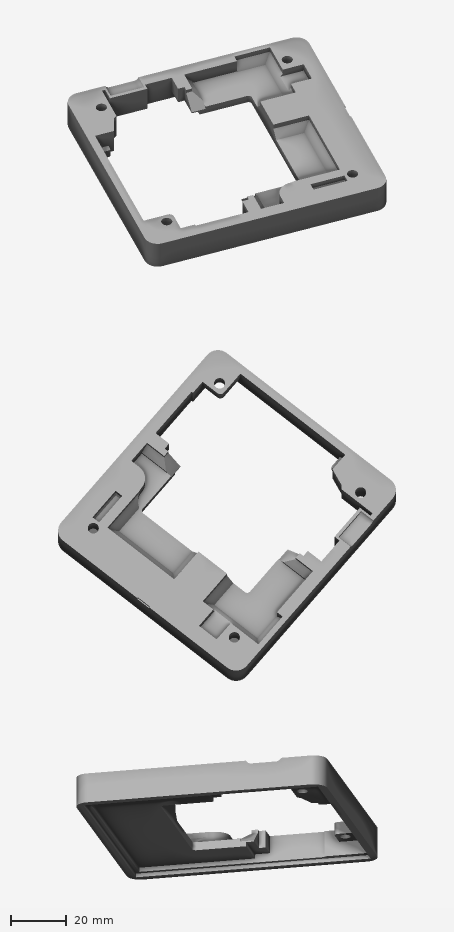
import cadquery as cq

WIDTH = 85.9
LENGTH = 92.25
HEIGHT = 11.0
CORNER_RADIUS = 5.0

WALL_DROP = 2.0
SLOPE_RUN = 2.95
FLOOR_DEPTH = WALL_DROP + SLOPE_RUN

LIP_WIDTH = 2.95
LIP_HEIGHT = 1.4
BACK_CAVITY = 2.95
SHELF_CAVITY = 4.5
SHELF_CAVITY_BACK = -1.0
CORNER_SLAB = 4.5

PLATE_EDGE = 18.5
NECK_X = 24.8
NECK_RADIUS = 1.3
SHELF_Y = -4.0
STEP_X = 32.1
STEP_Y = -6.5
SIDE_X = 38.4
FRONT_Y = LIP_WIDTH - LENGTH / 2
PAD_Y = -32.2
RIGHT_PAD_X = 29.2
RIGHT_PAD_RADIUS = 1.7
RIGHT_RIB_X = 37.7
RIGHT_RIB_Y = -26.75
LEFT_PAD_X = -19.3
LEFT_PAD_SIDE_Y = -36.0
LEFT_PAD_BEND = (-25.6, -33.4)
LEFT_PAD_SHOULDER_X = -26.5

TROUGH_BACK = -17.4
TROUGH_FRONT = -30.3
TROUGH_END_X = -37.3
TROUGH_DEPTH = 1.2
TROUGH_RADIUS = 2.0
TROUGH_RIM_X = -36.1
TROUGH_RIM = 0.7
SLIT_END_X = -41.0

POCKET_BACK = 32.2
LEFT_POCKET_X = (-41.0, -15.2)
RIGHT_POCKET_X = (-2.0, 28.9)
RIGHT_POCKET_FRONT = 12.8

CHANNEL_FRONT = 1.3
RAMP_TOP_X = 30.4
RAMP_END_DEPTH = 6.0
END_WALL_DROP = 1.4
END_SLOPE_DROP = 2.7
BEND_X = 29.1
BEND_RADIUS = 5.6
BEND_END_Y = RIGHT_POCKET_FRONT - BEND_RADIUS

RECESS_X = (-28.2, -20.1)
RECESS_Y = (31.2, 40.2)
RECESS_DEPTH = 3.0

SLOT_X = (32.5, 35.5)
SLOT_Y = (19.6, 32.6)
SLOT_SLOPE_RUN = 0.55

HOLE_DIAMETER = 4.0
HOLE_X = 32.7
HOLE_Y = 35.6
BLIND_DEPTH = 6.0

LEDGE_WIDTH = 2.4
LEDGE_BACK = -38.0
LEDGE_DEPTH = 6.5
LEDGE_RADIUS = 0.7

NOTCH_X = (-1.8, 3.7)
NOTCH_INSET = 0.4
NOTCH_DEPTH = 1.0


def block(x, y, z):
    """Box between the (low, high) limits on each axis."""
    size = (x[1] - x[0], y[1] - y[0], z[1] - z[0])
    return cq.Workplane("XY").box(*size, centered=False).translate((x[0], y[0], z[0]))


def top_cut(x, y, depth):
    """Box reaching from the top face down to the given depth."""
    return block(x, y, (HEIGHT - depth, HEIGHT))


def make_opening():
    outline = [
        (-NECK_X, PLATE_EDGE), (NECK_X, PLATE_EDGE), (NECK_X, SHELF_Y),
        (STEP_X, SHELF_Y), (STEP_X, STEP_Y), (SIDE_X, STEP_Y),
        (SIDE_X, RIGHT_RIB_Y), (RIGHT_RIB_X, RIGHT_RIB_Y), (RIGHT_RIB_X, PAD_Y),
        (RIGHT_PAD_X, PAD_Y), (RIGHT_PAD_X, FRONT_Y), (LEFT_PAD_X, FRONT_Y),
        (LEFT_PAD_X, LEFT_PAD_SIDE_Y), LEFT_PAD_BEND, (LEFT_PAD_SHOULDER_X, PAD_Y),
        (SLIT_END_X, PAD_Y), (SLIT_END_X, TROUGH_FRONT - TROUGH_RIM),
        (TROUGH_RIM_X, TROUGH_FRONT - TROUGH_RIM), (TROUGH_RIM_X, TROUGH_BACK + TROUGH_RIM),
        (-SIDE_X, TROUGH_BACK + TROUGH_RIM), (-SIDE_X, STEP_Y), (-STEP_X, STEP_Y),
        (-STEP_X, SHELF_Y), (-NECK_X, SHELF_Y),
    ]
    opening = cq.Workplane("XY", origin=(0, 0, LIP_HEIGHT)).polyline(outline).close().extrude(HEIGHT)
    rounded = [
        (-NECK_X, PLATE_EDGE, NECK_RADIUS),
        (NECK_X, PLATE_EDGE, NECK_RADIUS),
        (RIGHT_PAD_X, PAD_Y, RIGHT_PAD_RADIUS),
    ]
    for x, y, radius in rounded:
        corner = cq.selectors.NearestToPointSelector((x, y, HEIGHT))
        opening = opening.edges("|Z").edges(corner).fillet(radius)
    return opening


def make_tub(x, y, run):
    """Recess with vertical upper walls above 45 degree slopes on all four sides."""
    width = x[1] - x[0]
    length = y[1] - y[0]
    bowl = (
        cq.Workplane("XY", origin=(sum(x) / 2, sum(y) / 2, HEIGHT - WALL_DROP - run))
        .rect(width - 2 * run, length - 2 * run)
        .workplane(offset=run)
        .rect(width, length)
        .loft(ruled=True)
    )
    return bowl.union(top_cut(x, y, WALL_DROP))


def make_pocket(x, front):
    """Back half of a tub, so that its front end is open to the channel and the neck."""
    tub_front = 2 * front - POCKET_BACK
    tub = make_tub(x, (tub_front, POCKET_BACK), SLOPE_RUN)
    return tub.cut(block(x, (tub_front, front), (0, HEIGHT)))


def make_channel_end(side):
    """Front end of a side channel: a slope along Y meeting a ramp along X."""
    slope_front = CHANNEL_FRONT - SLOPE_RUN
    wall_z = HEIGHT - END_WALL_DROP
    slope = (
        cq.Workplane("YZ")
        .polyline([
            (slope_front, HEIGHT), (slope_front, wall_z),
            (CHANNEL_FRONT, wall_z - END_SLOPE_DROP), (CHANNEL_FRONT, HEIGHT),
        ])
        .close().extrude(side * SIDE_X)
    )
    ramp = (
        cq.Workplane("XZ", origin=(0, CHANNEL_FRONT, 0))
        .polyline([
            (side * RAMP_TOP_X, HEIGHT), (side * RAMP_TOP_X, wall_z),
            (side * NECK_X, HEIGHT - RAMP_END_DEPTH), (side * NECK_X, HEIGHT),
        ])
        .close().extrude(CHANNEL_FRONT - SHELF_Y)
    )
    return slope.union(ramp)


def make_left_channel():
    return top_cut((-SIDE_X, -NECK_X + NECK_RADIUS), (CHANNEL_FRONT, PLATE_EDGE), FLOOR_DEPTH)


def make_right_channel():
    """Channel whose outer edge sweeps round an S bend."""
    bend_y = RIGHT_POCKET_FRONT
    inner_x = BEND_X - BEND_RADIUS
    outer_x = BEND_X + BEND_RADIUS
    return (
        cq.Workplane("XY", origin=(0, 0, HEIGHT - FLOOR_DEPTH))
        .moveTo(inner_x, CHANNEL_FRONT)
        .lineTo(inner_x, bend_y + BEND_RADIUS)
        .radiusArc((BEND_X, bend_y), BEND_RADIUS)
        .radiusArc((outer_x, BEND_END_Y), -BEND_RADIUS)
        .lineTo(SIDE_X, BEND_END_Y)
        .lineTo(SIDE_X, CHANNEL_FRONT)
        .close().extrude(FLOOR_DEPTH)
    )


def make_trough():
    """Shallow trough whose two ends are arcs tangent to its floor."""
    floor_z = HEIGHT - TROUGH_DEPTH
    arc_run = (TROUGH_RADIUS ** 2 - (TROUGH_RADIUS - TROUGH_DEPTH) ** 2) ** 0.5
    return (
        cq.Workplane("YZ", origin=(-WIDTH / 2, 0, 0))
        .moveTo(TROUGH_FRONT, HEIGHT)
        .radiusArc((TROUGH_FRONT + arc_run, floor_z), -TROUGH_RADIUS)
        .lineTo(TROUGH_BACK - arc_run, floor_z)
        .radiusArc((TROUGH_BACK, HEIGHT), -TROUGH_RADIUS)
        .close().extrude(TROUGH_END_X + WIDTH / 2)
    )


def make_holes(y, depth):
    return (
        cq.Workplane("XY", origin=(0, 0, HEIGHT - depth))
        .pushPoints([(-HOLE_X, y), (HOLE_X, y)])
        .circle(HOLE_DIAMETER / 2).extrude(depth)
    )


def make_underside():
    lip_x = WIDTH / 2 - LIP_WIDTH
    lip_y = LENGTH / 2 - LIP_WIDTH
    cavity = block((-lip_x, lip_x), (-lip_y, lip_y), (0, LIP_HEIGHT))
    side_wall = WIDTH / 2 - SIDE_X
    back_y = (STEP_Y, LENGTH / 2 - side_wall)
    cavity = cavity.union(block((-SIDE_X, SIDE_X), back_y, (0, BACK_CAVITY)))
    shelf_y = (STEP_Y, SHELF_CAVITY_BACK)
    cavity = cavity.union(block((-SIDE_X, SIDE_X), shelf_y, (0, SHELF_CAVITY)))
    corner_x = (RIGHT_PAD_X, RIGHT_RIB_X)
    return cavity.union(block(corner_x, (FRONT_Y, PAD_Y), (0, HEIGHT - CORNER_SLAB)))


def make_ledge():
    ledge_x = (LEFT_PAD_X, LEFT_PAD_X + LEDGE_WIDTH)
    ledge = block(ledge_x, (FRONT_Y, LEDGE_BACK), (LIP_HEIGHT, HEIGHT - LEDGE_DEPTH))
    return ledge.edges("|Z and >X and >Y").fillet(LEDGE_RADIUS)


body = cq.Workplane("XY").box(WIDTH, LENGTH, HEIGHT, centered=(True, True, False))
body = body.edges("|Z").fillet(CORNER_RADIUS)

cuts = [
    make_opening(),
    make_underside(),
    make_pocket(LEFT_POCKET_X, PLATE_EDGE),
    make_pocket(RIGHT_POCKET_X, RIGHT_POCKET_FRONT),
    make_left_channel(),
    make_right_channel(),
    make_channel_end(-1),
    make_channel_end(1),
    top_cut(RECESS_X, RECESS_Y, RECESS_DEPTH),
    make_tub(SLOT_X, SLOT_Y, SLOT_SLOPE_RUN),
    make_trough(),
    make_holes(HOLE_Y, BLIND_DEPTH),
    make_holes(-HOLE_Y, HEIGHT),
    top_cut(NOTCH_X, (LENGTH / 2 - NOTCH_INSET, LENGTH / 2), NOTCH_DEPTH),
]
for cut in cuts:
    body = body.cut(cut)

result = body.union(make_ledge())